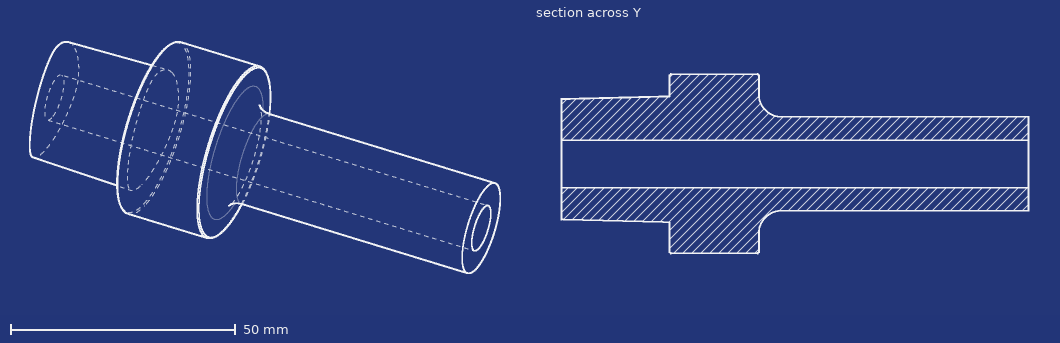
import cadquery as cq
import math

total_length = 104.0
taper_length = 24.0
collar_length = 20.0
collar_diameter = 40.0
collar_chamfer = 0.3
stem_diameter = 21.0
stem_fillet = 5.0
bore_diameter = 10.5

lobe_base_radius = 14.0
lobe_taper_rate = 1 / 40
lobe_eccentricity = 1.0
lobe_points = 36

collar_end = taper_length + collar_length


def lobed_outline(mean_radius):
    """Points of the three-lobed curve in local (Y, Z), with one lobe towards +Z."""
    points = []
    for index in range(lobe_points):
        angle = 2 * math.pi * index / lobe_points
        across = (
            mean_radius * math.sin(angle)
            + 2 * lobe_eccentricity * math.sin(2 * angle)
            + lobe_eccentricity * math.sin(4 * angle)
        )
        up = (
            -mean_radius * math.cos(angle)
            + 2 * lobe_eccentricity * math.cos(2 * angle)
            - lobe_eccentricity * math.cos(4 * angle)
        )
        points.append((across, up))
    return points


def polygon_taper():
    """Lobed taper that widens from the tip to the collar."""
    tip_radius = lobe_base_radius - taper_length * lobe_taper_rate
    return (
        cq.Workplane("YZ")
        .spline(lobed_outline(tip_radius), periodic=True)
        .close()
        .workplane(offset=taper_length)
        .spline(lobed_outline(lobe_base_radius), periodic=True)
        .close()
        .loft(ruled=True, combine=True)
    )


def collar():
    """Round collar with a small chamfer on both rims."""
    return (
        cq.Workplane("YZ", origin=(taper_length, 0, 0))
        .circle(collar_diameter / 2)
        .extrude(collar_length)
        .edges()
        .chamfer(collar_chamfer)
    )


def stem():
    """Cylindrical stem that flares into the collar through a concave arc."""
    stem_radius = stem_diameter / 2
    flare_radius = stem_radius + stem_fillet
    flare_end = collar_end + stem_fillet
    arc_offset = stem_fillet * (1 - math.sqrt(0.5))
    return (
        cq.Workplane("XY")
        .moveTo(collar_end, 0)
        .lineTo(collar_end, flare_radius)
        .threePointArc(
            (collar_end + arc_offset, stem_radius + arc_offset),
            (flare_end, stem_radius),
        )
        .lineTo(total_length, stem_radius)
        .lineTo(total_length, 0)
        .close()
        .revolve(360, (0, 0, 0), (1, 0, 0))
    )


def bore():
    """Through bore along the axis."""
    return cq.Workplane("YZ").circle(bore_diameter / 2).extrude(total_length)


result = polygon_taper().union(collar()).union(stem()).cut(bore())